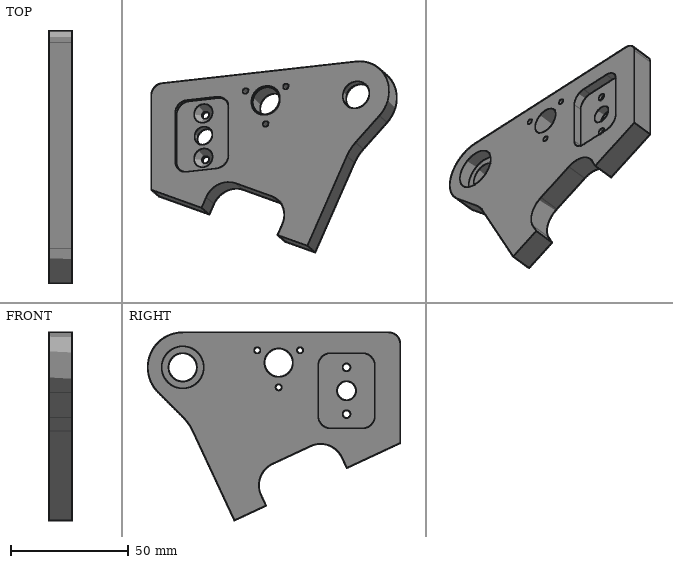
import cadquery as cq
import math

thickness = 10.0
pivot_radius = 15.0
pivot_bore_dia = 12.0
pivot_counterbore_dia = 18.0
pivot_counterbore_depth = 5.5
end_y = 93.0
end_corner_radius = 5.0

tilt = math.radians(25.0)
leg_corner = (22.07, -65.47)
leg_width = 15.0
notch_width = 38.0
notch_depth = 15.0
notch_radius = 10.0
neck_angle = math.radians(45.0)
neck_tangent_angle = -math.pi / 2 - neck_angle
neck_radius = 20.0

pad_center = (70.0, -10.0)
pad_width = 24.25
pad_height = 32.25
pad_corner_radius = 5.5
pad_depth = 2.0
rear_pocket_depth = 4.0
dowel_dia = 8.0
screw_dia = 3.2
screw_pitch = 20.0
countersink_dia = 8.4
countersink_angle = 90.0

bore_center = (41.0, 2.0)
bore_dia = 12.0
bore_chamfer = 0.5
bolt_circle_radius = 10.55
bolt_hole_dia = 2.5
bolt_angles = (30.0, 150.0, 270.0)


def lower_edge_point(along, above=0.0):
    """Point at a distance along the tilted edge from the leg corner, and square above it."""
    y = leg_corner[0] + along * math.cos(tilt) - above * math.sin(tilt)
    z = leg_corner[1] + along * math.sin(tilt) + above * math.cos(tilt)
    return (y, z)


def circle_point(angle):
    """Point on the rounded pivot end, with the angle measured from +Y towards +Z."""
    return (pivot_radius * math.cos(angle), pivot_radius * math.sin(angle))


def neck_corner():
    """Sharp meeting point of the leg side and the neck line tangent to the pivot end."""
    tangent_y, tangent_z = circle_point(neck_tangent_angle)
    gap_y = tangent_y - leg_corner[0]
    gap_z = tangent_z - leg_corner[1]
    gap_to_neck_line = gap_y * math.sin(neck_angle) + gap_z * math.cos(neck_angle)
    return lower_edge_point(0.0, gap_to_neck_line / math.cos(tilt + neck_angle))


def make_plate():
    far_edge = leg_width + notch_width
    edge_length = (end_y - leg_corner[0]) / math.cos(tilt)
    notch_corners = [lower_edge_point(leg_width, notch_depth), lower_edge_point(far_edge, notch_depth)]
    neck = neck_corner()
    plate = (
        cq.Workplane("YZ")
        .moveTo(end_y, pivot_radius)
        .lineTo(0, pivot_radius)
        .threePointArc((-pivot_radius, 0), circle_point(neck_tangent_angle))
        .lineTo(*neck)
        .lineTo(*leg_corner)
        .lineTo(*lower_edge_point(leg_width))
        .lineTo(*notch_corners[0])
        .lineTo(*notch_corners[1])
        .lineTo(*lower_edge_point(far_edge))
        .lineTo(*lower_edge_point(edge_length))
        .close()
        .extrude(thickness)
    )
    plate = round_corner(plate, (end_y, pivot_radius), end_corner_radius)
    plate = round_corner(plate, neck, neck_radius)
    for corner in notch_corners:
        plate = round_corner(plate, corner, notch_radius)
    return plate


def round_corner(plate, corner, radius):
    """Fillet the plate edge that runs through the thickness at the given corner."""
    edge = plate.edges("|X").edges(cq.selectors.NearestToPointSelector((thickness / 2, *corner)))
    return edge.fillet(radius)


def cylinder(center, diameter, start=0.0, depth=thickness):
    return cq.Workplane("YZ", origin=(start, *center)).circle(diameter / 2).extrude(depth)


def cone(center, start, large_dia, small_dia, depth):
    """Cone narrowing from large_dia at X = start to small_dia at the given depth."""
    solid = cq.Solid.makeCone(
        large_dia / 2, small_dia / 2, depth, cq.Vector(start, *center), cq.Vector(1, 0, 0)
    )
    return cq.Workplane(obj=solid)


def cut_pivot_bore(plate):
    counterbore_start = thickness - pivot_counterbore_depth
    counterbore = cylinder((0, 0), pivot_counterbore_dia, counterbore_start, pivot_counterbore_depth)
    return plate.cut(cylinder((0, 0), pivot_bore_dia)).cut(counterbore)


def pad_pocket(start, depth):
    """Rounded rectangular pocket from X = start to the given depth."""
    return (
        cq.Workplane("YZ", origin=(start, *pad_center))
        .rect(pad_width, pad_height)
        .extrude(depth)
        .edges("|X")
        .fillet(pad_corner_radius)
    )


def cut_pad(plate):
    plate = plate.cut(pad_pocket(0, pad_depth))
    plate = plate.cut(pad_pocket(thickness - rear_pocket_depth, rear_pocket_depth))
    plate = plate.cut(cylinder(pad_center, dowel_dia))
    half_angle = math.radians(countersink_angle / 2)
    countersink_depth = (countersink_dia - screw_dia) / 2 / math.tan(half_angle)
    for side in (-1, 1):
        center = (pad_center[0], pad_center[1] + side * screw_pitch / 2)
        plate = plate.cut(cylinder(center, screw_dia))
        plate = plate.cut(cone(center, pad_depth, countersink_dia, screw_dia, countersink_depth))
    return plate


def cut_shaft_bore(plate):
    plate = plate.cut(cylinder(bore_center, bore_dia))
    plate = plate.cut(cone(bore_center, 0, bore_dia + 2 * bore_chamfer, bore_dia, bore_chamfer))
    for degrees in bolt_angles:
        angle = math.radians(degrees)
        y = bore_center[0] + bolt_circle_radius * math.cos(angle)
        z = bore_center[1] + bolt_circle_radius * math.sin(angle)
        plate = plate.cut(cylinder((y, z), bolt_hole_dia))
    return plate


result = cut_shaft_bore(cut_pad(cut_pivot_bore(make_plate())))